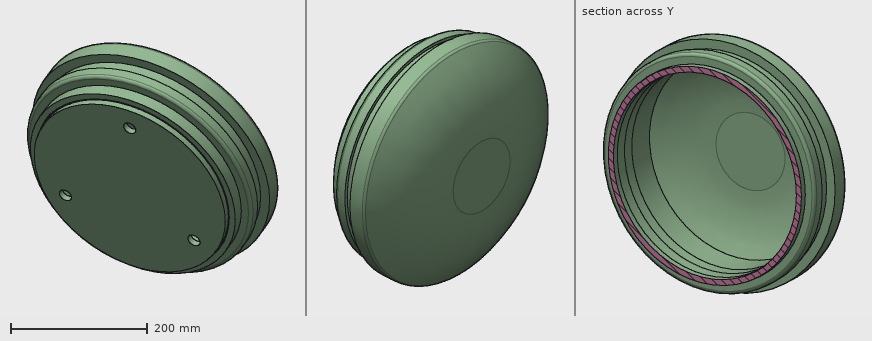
import cadquery as cq
import math

total_depth = 150.0

plate_radius = 157.0
plate_thickness = 10.0
hole_diameter = 20.0
hole_circle_radius = 122.0
hole_count = 3
first_hole_angle = 90

collar_radius = 168.5
collar_front = plate_thickness
plate_clearance = 1.5
flange_radius = 185.2
flange_front = 30.0
flange_edge_fillet = 5.0
neck_radius = 180.0
neck_front = 50.0
ring_bore_radius = plate_radius + plate_clearance

rim_radius = 195.0
rim_front = 70.0
rim_edge_fillet = 6.2
crown_radius = 60.0
dome_radius = 200.0
wall_thickness = 5.0


def dome_drop(radius, arc_radius):
    """Distance along Y from the crown down to the arc at the given radius."""
    return arc_radius - math.sqrt(arc_radius**2 - (radius - crown_radius) ** 2)


def make_ring(outer_radius, front, back, bore_radius):
    """Flat ring spanning front to back along Y."""
    ring = cq.Workplane("XZ", origin=(0, front, 0)).circle(outer_radius).circle(bore_radius)
    return ring.extrude(front - back)


def make_domed_solid(outer_radius, crown_y, arc_radius):
    """Solid dome above a cylinder of the given radius."""
    edge_y = crown_y - dome_drop(outer_radius, arc_radius)
    middle_radius = (crown_radius + outer_radius) / 2
    middle_y = crown_y - dome_drop(middle_radius, arc_radius)
    return (
        cq.Workplane("XY")
        .moveTo(0, rim_front)
        .lineTo(outer_radius, rim_front)
        .lineTo(outer_radius, edge_y)
        .threePointArc((middle_radius, middle_y), (crown_radius, crown_y))
        .lineTo(0, crown_y)
        .close()
        .revolve(360, (0, 0, 0), (0, 1, 0))
    )


def make_cap():
    """Hollow domed cap, open towards the rings."""
    outside = make_domed_solid(rim_radius, total_depth, dome_radius)
    rim_edge_y = total_depth - dome_drop(rim_radius, dome_radius)
    rim_edge = cq.selectors.NearestToPointSelector((0, rim_edge_y, 0))
    outside = outside.edges("%CIRCLE").edges(rim_edge).fillet(rim_edge_fillet)
    inside = make_domed_solid(
        ring_bore_radius, total_depth - wall_thickness, dome_radius - wall_thickness
    )
    return outside.cut(inside)


def make_flange():
    """Ring with its outer front edge rounded."""
    flange = make_ring(flange_radius, flange_front, neck_front, ring_bore_radius)
    outer_front_edge = cq.selectors.RadiusNthSelector(-1)
    return flange.faces("<Y").edges(outer_front_edge).fillet(flange_edge_fillet)


def make_plate():
    """Round plate with evenly spaced through holes."""
    plate = cq.Workplane("XZ").circle(plate_radius).extrude(-plate_thickness)
    holes = (
        cq.Workplane("XZ")
        .polarArray(hole_circle_radius, first_hole_angle, 360, hole_count)
        .circle(hole_diameter / 2)
        .extrude(-plate_thickness)
    )
    return plate.cut(holes)


cap = make_cap()
neck = make_ring(neck_radius, neck_front, rim_front, ring_bore_radius)
flange = make_flange()
collar = make_ring(collar_radius, collar_front, flange_front, ring_bore_radius)
plate = make_plate()

result = cq.Compound.makeCompound(
    [cap.val(), neck.val(), flange.val(), collar.val(), plate.val()]
)